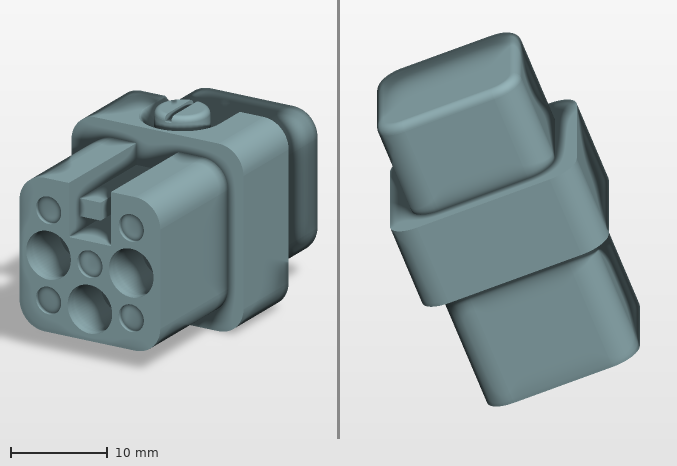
import cadquery as cq
import math


TOTAL_LENGTH = 33.1
FRONT_LENGTH = 13.57
FLANGE_LENGTH = 9.07
REAR_LENGTH = TOTAL_LENGTH - FRONT_LENGTH - FLANGE_LENGTH
FRONT_SIZE = 17.0
FLANGE_SIZE = 20.8
REAR_SIZE = 16.0
CORNER_RADIUS = 3.0
REAR_EDGE_RADIUS = 0.93
FRONT_FACE_Y = -FRONT_LENGTH
FLANGE_TOP = FLANGE_SIZE / 2

KEYWAY_WIDTH = 5.1
KEYWAY_DEPTH = 6.0
KEY_WIDTH = 2.5
KEY_HEIGHT = 2.0
KEY_TOP_DROP = 2.4
KEY_SETBACK = 2.22

GRID_PITCH = 5.0
CAVITY_DIAMETER = 5.4
CAVITY_DEPTH = 6.62
SOCKET_DIAMETER = 3.05
SOCKET_MOUTH_DIAMETER = 3.67
SOCKET_DEPTH = 3.3
COUNTERSINK_ANGLE = 45
MARK_DIAMETER = 3.05
MARK_DEPTH = 0.5
CAVITY_CELLS = [(-1, 0), (1, 0), (0, -1)]
MARK_CELLS = [(-1, 1), (1, 1), (0, 0), (-1, -1), (1, -1)]

SCREW_Y = 5.0
SCREW_DIAMETER = 5.92
SCREW_DRAFT_ANGLE = 2
SCREW_PROTRUSION = 0.93
SCREW_EDGE_RADIUS = 0.63
SCREW_SLOT_WIDTH = 0.8
SCREW_SLOT_DEPTH = 0.73
RECESS_TOP_RADIUS = 4.5
RECESS_FLOOR_RADIUS = 3.0
RECESS_DEPTH = 1.5


def rounded_block(size, start_y, length):
    """Square block along Y with rounded long edges."""
    return (
        cq.Workplane("XZ", origin=(0, start_y, 0))
        .rect(size, size)
        .extrude(-length)
        .edges("|Y")
        .fillet(CORNER_RADIUS)
    )


def grid_points(cells):
    """X-Z positions of the given grid cells."""
    return [(column * GRID_PITCH, row * GRID_PITCH) for column, row in cells]


def round_holes(cells, diameter, start_y, depth):
    """Flat-bottomed round holes running towards +Y from start_y."""
    return (
        cq.Workplane("XZ", origin=(0, start_y, 0))
        .pushPoints(grid_points(cells))
        .circle(diameter / 2)
        .extrude(-depth)
    )


def contact_cavities():
    """Wide cavities, each with a countersunk socket in its floor."""
    floor_y = FRONT_FACE_Y + CAVITY_DEPTH
    mouth_inset = (SOCKET_MOUTH_DIAMETER - SOCKET_DIAMETER) / 2
    mouth_depth = mouth_inset / math.tan(math.radians(COUNTERSINK_ANGLE))
    cavities = round_holes(CAVITY_CELLS, CAVITY_DIAMETER, FRONT_FACE_Y, CAVITY_DEPTH)
    sockets = round_holes(CAVITY_CELLS, SOCKET_DIAMETER, floor_y, SOCKET_DEPTH)
    mouths = (
        cq.Workplane("XZ", origin=(0, floor_y, 0))
        .pushPoints(grid_points(CAVITY_CELLS))
        .circle(SOCKET_MOUTH_DIAMETER / 2)
        .extrude(-mouth_depth, taper=COUNTERSINK_ANGLE)
    )
    return cavities.union(sockets).union(mouths)


def front_block():
    """Contact block with its keyway, key, cavities and marks."""
    top = FRONT_SIZE / 2
    wall_x = -KEYWAY_WIDTH / 2
    keyway_corner = (wall_x, FRONT_FACE_Y, top - KEYWAY_DEPTH)
    keyway = cq.Workplane("XY", origin=keyway_corner).box(
        KEYWAY_WIDTH, FRONT_LENGTH, KEYWAY_DEPTH, centered=False
    )
    key_corner = (wall_x, FRONT_FACE_Y + KEY_SETBACK, top - KEY_TOP_DROP - KEY_HEIGHT)
    key = cq.Workplane("XY", origin=key_corner).box(
        KEY_WIDTH, FRONT_LENGTH - KEY_SETBACK, KEY_HEIGHT, centered=False
    )
    marks = round_holes(MARK_CELLS, MARK_DIAMETER, FRONT_FACE_Y, MARK_DEPTH)
    block = rounded_block(FRONT_SIZE, FRONT_FACE_Y, FRONT_LENGTH)
    return block.cut(keyway).union(key).cut(marks).cut(contact_cavities())


def screw_recess():
    """U-shaped recess with sloped walls, open through the rear face of the flange."""
    slope_angle = math.degrees(math.atan2(RECESS_TOP_RADIUS - RECESS_FLOOR_RADIUS, RECESS_DEPTH))
    open_end = FLANGE_LENGTH - SCREW_Y + RECESS_TOP_RADIUS
    return (
        cq.Workplane("XY", origin=(0, SCREW_Y, FLANGE_TOP))
        .moveTo(-RECESS_TOP_RADIUS, open_end)
        .lineTo(-RECESS_TOP_RADIUS, 0)
        .threePointArc((0, -RECESS_TOP_RADIUS), (RECESS_TOP_RADIUS, 0))
        .lineTo(RECESS_TOP_RADIUS, open_end)
        .close()
        .extrude(-RECESS_DEPTH, taper=slope_angle)
    )


def screw_head():
    """Slotted round head with slightly drafted sides, standing on the recess floor."""
    height = RECESS_DEPTH + SCREW_PROTRUSION
    head = (
        cq.Workplane("XY", origin=(0, SCREW_Y, FLANGE_TOP - RECESS_DEPTH))
        .circle(SCREW_DIAMETER / 2)
        .extrude(height, taper=SCREW_DRAFT_ANGLE)
        .faces(">Z")
        .edges()
        .fillet(SCREW_EDGE_RADIUS)
    )
    slot = (
        cq.Workplane("XY", origin=(0, SCREW_Y, FLANGE_TOP + SCREW_PROTRUSION))
        .rect(SCREW_SLOT_WIDTH, SCREW_DIAMETER)
        .extrude(-SCREW_SLOT_DEPTH)
    )
    return head.cut(slot)


rear = rounded_block(REAR_SIZE, FLANGE_LENGTH, REAR_LENGTH)
rear = rear.faces(">Y").edges().fillet(REAR_EDGE_RADIUS)
flange = rounded_block(FLANGE_SIZE, 0, FLANGE_LENGTH).cut(screw_recess()).union(screw_head())

result = flange.union(front_block()).union(rear)